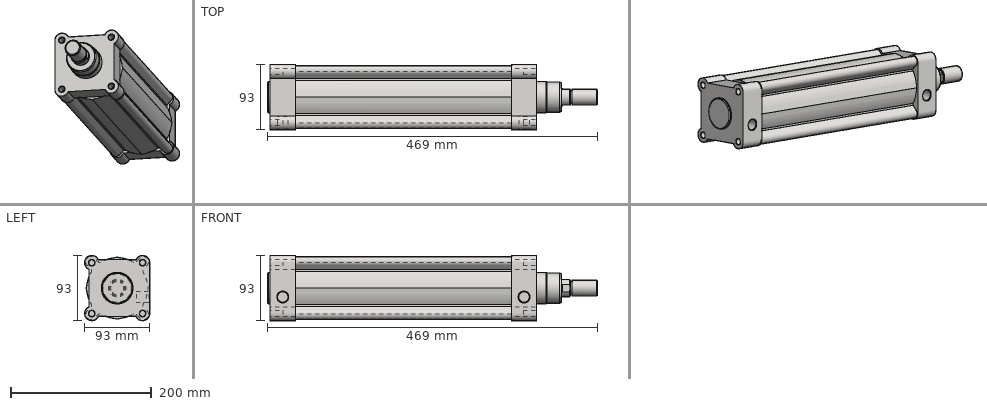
import cadquery as cq
import math


REAR_CAP_START = 3.0
TUBE_START = 40.0
TUBE_END = 346.5
FRONT_CAP_END = 382.0
COLLAR_END = 417.0
OVERALL_LENGTH = 469.0

CAP_HALF = 46.5
LOBE_RADIUS = 10.5
LOBE_CENTER = CAP_HALF - LOBE_RADIUS
WAIST_HALF = 40.5
SCREW_RADIUS = 4.5
SCREW_DEPTH = 18.8
SCREW_CHAMFER = 0.5
PORT_RADIUS = 8.5
PORT_CHAMFER = 1.0
PORT_DEPTH = 18.8
PORT_Z = -12.5

BOSS_RADIUS = 22.5
BOSS_CHAMFER = 1.5
COLLAR_STEP_X = 396.5
COLLAR_RADIUS = 21.5
COLLAR_STEP = BOSS_RADIUS - COLLAR_RADIUS
COLLAR_CHAMFER = 1.5
COLLAR_CHAMFER_LENGTH = 2.5

TUBE_DIAMETER = 86.5
TUBE_RADIUS = TUBE_DIAMETER / 2
RIDGE_HEIGHT = 44.0
RIDGE_HALF_WIDTH = 9.5
ARC_HALF_WIDTH = 23.5
RAIL_DIAMETER = 14.5
RAIL_RADIUS = RAIL_DIAMETER / 2
RAIL_CENTER = 37.5

ROD_DIAMETER = 25.0
ROD_RADIUS = ROD_DIAMETER / 2
FLAT_HALF = 11.3
FLATS_START = 418.5
SHOULDER_END = 430.0
SHOULDER_CHAMFER = 1.5
THREAD_START = 432.5
NECK_RADIUS = 9.5
THREAD_RADIUS = 11.3
THREAD_CHAMFER = 1.5


def disc(radius, start, end, y=0, z=0):
    """Cylinder along X from start to end."""
    plane = cq.Plane(origin=(start, y, z), xDir=(0, 1, 0), normal=(1, 0, 0))
    return cq.Workplane(plane).circle(radius).extrude(end - start)


def block(start, end, y_min, y_max, half_height):
    """Box from start to end along X, centred on Z = 0."""
    corner = cq.Workplane("XY", origin=(start, y_min, 0))
    return corner.box(end - start, y_max - y_min, 2 * half_height, centered=(False, False, True))


def chamfered_hole(mouth, inward, mouth_radius, chamfer, depth):
    """Blind hole from the point mouth along inward, with a 45 degree chamfer at its mouth."""
    origin = cq.Vector(*mouth)
    direction = cq.Vector(*inward)
    bore_radius = mouth_radius - chamfer
    bore = cq.Solid.makeCylinder(bore_radius, depth, origin, direction)
    cone = cq.Solid.makeCone(mouth_radius, bore_radius, chamfer, origin, direction)
    return cq.Workplane(bore).union(cq.Workplane(cone))


def cap_body(start, end, outer_face, inward):
    """Cap with four corner lobes, screw holes in its outer face and a port in its flat -Y side."""
    body = block(start, end, -WAIST_HALF, WAIST_HALF, WAIST_HALF)
    body = body.union(block(start, end, -CAP_HALF, 0, LOBE_CENTER))
    lobe_centers = [(y * LOBE_CENTER, z * LOBE_CENTER) for y in (-1, 1) for z in (-1, 1)]
    for y, z in lobe_centers:
        body = body.union(disc(LOBE_RADIUS, start, end, y, z))
    for y, z in lobe_centers:
        mouth = (outer_face, y, z)
        body = body.cut(chamfered_hole(mouth, (inward, 0, 0), SCREW_RADIUS, SCREW_CHAMFER, SCREW_DEPTH))
    port_mouth = ((start + end) / 2, -CAP_HALF, PORT_Z)
    return body.cut(chamfered_hole(port_mouth, (0, 1, 0), PORT_RADIUS, PORT_CHAMFER, PORT_DEPTH))


def make_rear_cap():
    body = cap_body(REAR_CAP_START, TUBE_START, outer_face=REAR_CAP_START, inward=1)
    boss = disc(BOSS_RADIUS, 0, REAR_CAP_START).faces("<X").chamfer(BOSS_CHAMFER)
    return body.union(boss)


def make_front_cap():
    body = cap_body(TUBE_END, FRONT_CAP_END, outer_face=FRONT_CAP_END, inward=-1)
    collar = (
        cq.Workplane("XZ")
        .moveTo(FRONT_CAP_END, 0)
        .lineTo(FRONT_CAP_END, BOSS_RADIUS)
        .lineTo(COLLAR_STEP_X - COLLAR_STEP, BOSS_RADIUS)
        .lineTo(COLLAR_STEP_X, COLLAR_RADIUS)
        .lineTo(COLLAR_END - COLLAR_CHAMFER_LENGTH, COLLAR_RADIUS)
        .lineTo(COLLAR_END, COLLAR_RADIUS - COLLAR_CHAMFER)
        .lineTo(COLLAR_END, 0)
        .close()
        .revolve(360, (0, 0, 0), (1, 0, 0))
    )
    return body.union(collar)


def on_side(side, across, height):
    """Point on one of the tube's four sides, counted clockwise from the top (+Z) side."""
    angle = -side * math.pi / 2
    y = across * math.cos(angle) - height * math.sin(angle)
    z = across * math.sin(angle) + height * math.cos(angle)
    return y, z


def height_on_circle(across):
    return math.sqrt(TUBE_RADIUS**2 - across**2)


def make_tube():
    """Four equal sides: a low ridge, an arc each side of it, a ledge, a sloped wall and a corner rail."""
    rail_offset = RAIL_RADIUS * math.sqrt(0.5)
    rail_inner = RAIL_CENTER - rail_offset
    rail_outer = RAIL_CENTER + rail_offset
    ledge_height = height_on_circle(ARC_HALF_WIDTH)
    wall_foot = rail_inner - (rail_outer - ledge_height)
    ridge_foot = height_on_circle(RIDGE_HALF_WIDTH)
    arc_middle = (RIDGE_HALF_WIDTH + ARC_HALF_WIDTH) / 2
    arc_middle_height = height_on_circle(arc_middle)

    profile = cq.Workplane("YZ", origin=(TUBE_START, 0, 0)).moveTo(-rail_inner, rail_outer)
    for side in range(4):
        profile = (
            profile.lineTo(*on_side(side, -wall_foot, ledge_height))
            .lineTo(*on_side(side, -ARC_HALF_WIDTH, ledge_height))
            .threePointArc(
                on_side(side, -arc_middle, arc_middle_height),
                on_side(side, -RIDGE_HALF_WIDTH, ridge_foot),
            )
            .lineTo(*on_side(side, 0, RIDGE_HEIGHT))
            .lineTo(*on_side(side, RIDGE_HALF_WIDTH, ridge_foot))
            .threePointArc(
                on_side(side, arc_middle, arc_middle_height),
                on_side(side, ARC_HALF_WIDTH, ledge_height),
            )
            .lineTo(*on_side(side, wall_foot, ledge_height))
            .lineTo(*on_side(side, rail_inner, rail_outer))
            .threePointArc(
                on_side(side, rail_outer, rail_outer),
                on_side(side, rail_outer, rail_inner),
            )
        )
    return profile.close().extrude(TUBE_END - TUBE_START)


def make_piston_rod():
    shoulder = disc(ROD_RADIUS, COLLAR_END, SHOULDER_END).faces(">X").chamfer(SHOULDER_CHAMFER)
    for y_min in (-ROD_RADIUS, FLAT_HALF):
        y_max = y_min + ROD_RADIUS - FLAT_HALF
        shoulder = shoulder.cut(block(FLATS_START, SHOULDER_END, y_min, y_max, ROD_RADIUS))
    neck = disc(NECK_RADIUS, SHOULDER_END, THREAD_START)
    thread = disc(THREAD_RADIUS, THREAD_START, OVERALL_LENGTH).faces(">X").chamfer(THREAD_CHAMFER)
    return shoulder.union(neck).union(thread)


rear_cap = make_rear_cap()
tube = make_tube()
front_cap = make_front_cap()
piston_rod = make_piston_rod()

result = cq.Compound.makeCompound([rear_cap.val(), tube.val(), front_cap.val(), piston_rod.val()])